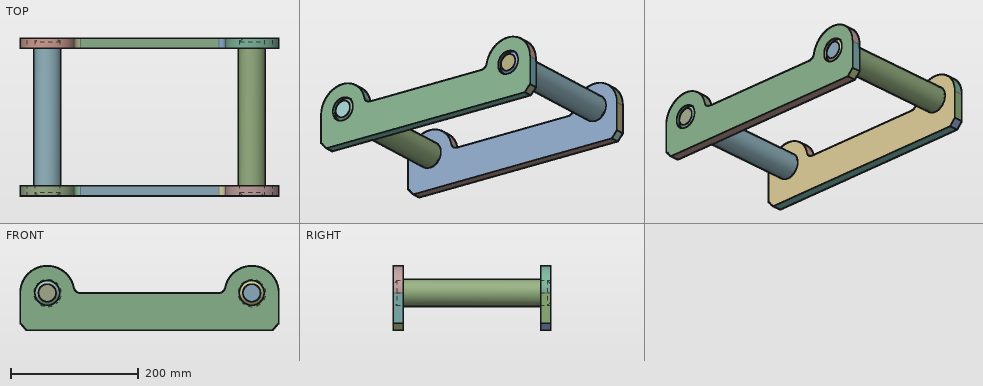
import cadquery as cq
import math

length = 407.5
width = 248.5
height = 102.0

plate_thickness = 16.5
lug_radius = 42.8
fillet_radius = 10.0
corner_length = 10.0
corner_height = 11.5

shaft_radius = 21.5
journal_radius = 19.5
end_chamfer = 5.7

pin_x = length / 2 - lug_radius
pin_z = height / 2 - lug_radius
inner_face_y = width / 2 - plate_thickness


def plate_outline(start_y):
    """Closed plate profile, ready to be extruded toward -Y."""
    end_x = length / 2
    bottom_z = -height / 2
    top_z = height / 2

    fillet_offset = math.sqrt((lug_radius + fillet_radius) ** 2 - fillet_radius ** 2)
    fillet_end_x = pin_x - fillet_offset
    contact_ratio = lug_radius / (lug_radius + fillet_radius)
    contact_x = pin_x - contact_ratio * fillet_offset
    contact_z = pin_z + contact_ratio * fillet_radius

    return (
        cq.Workplane("XZ", origin=(0, start_y, 0))
        .moveTo(-end_x + corner_length, bottom_z)
        .lineTo(end_x - corner_length, bottom_z)
        .lineTo(end_x, bottom_z + corner_height)
        .lineTo(end_x, pin_z)
        .threePointArc((pin_x, top_z), (contact_x, contact_z))
        .radiusArc((fillet_end_x, pin_z), fillet_radius)
        .lineTo(-fillet_end_x, pin_z)
        .radiusArc((-contact_x, contact_z), fillet_radius)
        .threePointArc((-pin_x, top_z), (-end_x, pin_z))
        .lineTo(-end_x, bottom_z + corner_height)
        .close()
    )


def make_plate(start_y):
    """Side plate from start_y toward -Y, bored through for the two pin journals."""
    bores = (
        cq.Workplane("XZ", origin=(0, start_y, 0))
        .pushPoints([(-pin_x, pin_z), (pin_x, pin_z)])
        .circle(journal_radius)
        .extrude(plate_thickness)
    )
    return plate_outline(start_y).extrude(plate_thickness).cut(bores)


def make_pin(x):
    """Stepped pin along Y whose chamfered ends are flush with the outer plate faces."""
    journals = (
        cq.Workplane("XZ", origin=(x, width / 2, pin_z))
        .circle(journal_radius)
        .extrude(width)
        .faces("<Y or >Y")
        .chamfer(end_chamfer)
    )
    shaft = (
        cq.Workplane("XZ", origin=(x, inner_face_y, pin_z))
        .circle(shaft_radius)
        .extrude(2 * inner_face_y)
    )
    return journals.union(shaft)


plates = [make_plate(start_y) for start_y in (-inner_face_y, width / 2)]
pins = [make_pin(x) for x in (-pin_x, pin_x)]

result = cq.Compound.makeCompound([body.val() for body in plates + pins])